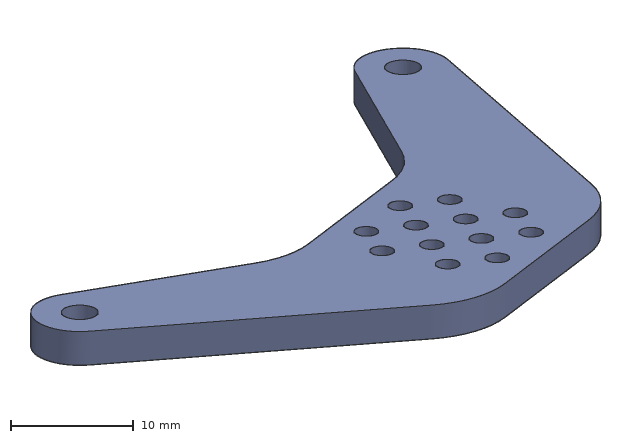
import cadquery as cq
import math

thickness = 3.0
body_half_width = 9.0

arm_end_x = -19.0
arm_end_y = 28.65
arm_end_radius = 4.0
arm_hole_diameter = 3.0

inner_corner_y = 10.6
outer_corner_y = 11.6
corner_radius = 8.5

grid_hole_diameter = 2.0
grid_pitch = 6.0
holes_per_row = (2, 3, 2, 3, 2)


def tangent_point(corner_x, corner_y, side):
    """Point where the line from a corner touches the upper arm end; side is +1 or -1."""
    dx = corner_x - arm_end_x
    dy = corner_y - arm_end_y
    angle = math.atan2(dy, dx) + side * math.acos(arm_end_radius / math.hypot(dx, dy))
    return (
        arm_end_x + arm_end_radius * math.cos(angle),
        arm_end_y + arm_end_radius * math.sin(angle),
    )


def arm_tip(start, end):
    """Point on the rounded end of the upper arm, midway between its two tangent points."""
    dx = (start[0] + end[0]) / 2 - arm_end_x
    dy = (start[1] + end[1]) / 2 - arm_end_y
    scale = arm_end_radius / math.hypot(dx, dy)
    return (arm_end_x + scale * dx, arm_end_y + scale * dy)


def mirrored(point):
    """The point reflected across the X axis."""
    return (point[0], -point[1])


def make_plate():
    """Boomerang-shaped plate with rounded arm ends and rounded body corners."""
    inner_corner = (-body_half_width, inner_corner_y)
    outer_corner = (body_half_width, outer_corner_y)
    inner_tangent = tangent_point(*inner_corner, -1)
    outer_tangent = tangent_point(*outer_corner, 1)
    tip = arm_tip(inner_tangent, outer_tangent)

    plate = (
        cq.Workplane("XY")
        .moveTo(*inner_corner)
        .lineTo(*inner_tangent)
        .threePointArc(tip, outer_tangent)
        .lineTo(*outer_corner)
        .lineTo(*mirrored(outer_corner))
        .lineTo(*mirrored(outer_tangent))
        .threePointArc(mirrored(tip), mirrored(inner_tangent))
        .lineTo(*mirrored(inner_corner))
        .close()
        .extrude(thickness)
    )
    plate = round_corners(plate, inner_corner, corner_radius)
    return round_corners(plate, outer_corner, corner_radius)


def round_corners(plate, corner, radius):
    """Round the upright edges at a corner and at its mirror image."""
    for x, y in (corner, mirrored(corner)):
        nearest = cq.selectors.NearestToPointSelector((x, y, thickness / 2))
        plate = plate.edges("|Z").edges(nearest).fillet(radius)
    return plate


def centred_offsets(count, spacing):
    """Evenly spaced positions centred on zero."""
    return [(index - (count - 1) / 2) * spacing for index in range(count)]


def grid_points():
    """Rows half a pitch apart, alternating between two and three holes."""
    row_positions = centred_offsets(len(holes_per_row), grid_pitch / 2)
    return [
        (x, y)
        for y, hole_count in zip(row_positions, holes_per_row)
        for x in centred_offsets(hole_count, grid_pitch)
    ]


def cut_holes(plate, points, diameter):
    """Drill straight through the plate at each point."""
    return plate.faces(">Z").workplane(origin=(0, 0, thickness)).pushPoints(points).hole(diameter)


arm_hole = (arm_end_x, arm_end_y)

result = make_plate()
result = cut_holes(result, [arm_hole, mirrored(arm_hole)], arm_hole_diameter)
result = cut_holes(result, grid_points(), grid_hole_diameter)